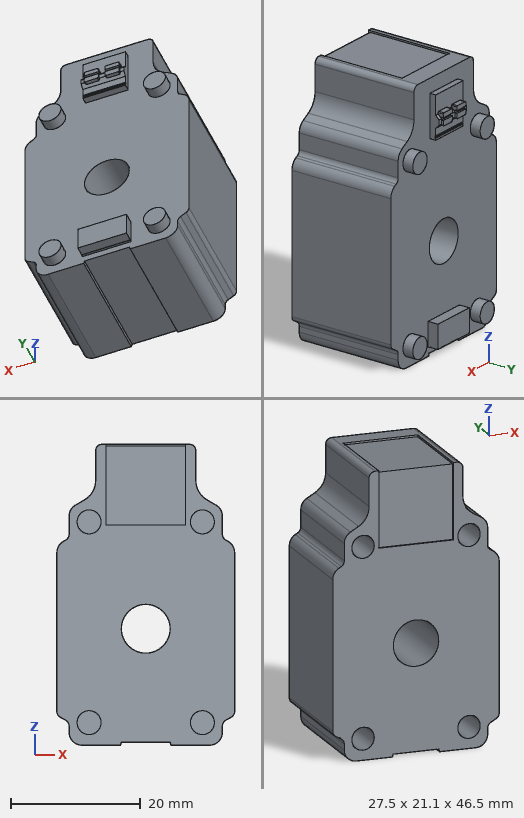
import cadquery as cq
import math


body_width = 27.5
body_height = 46.5
body_depth = 19.0
neck_width = 15.5
shoulder_width = 23.7
slope_angle = 30.0
neck_foot_z = 38.9
shoulder_foot_z = 32.0
base_step_z = 3.55
neck_corner_radius = 1.0
neck_foot_radius = 3.5
outer_corner_radius = 2.0
step_radius = 1.0

notch_depth = 0.45
notch_mouth_width = 7.8
notch_roof_width = 7.5

bore_diameter = 7.5
bore_z = 18.0
peg_diameter = 3.7
peg_length = 1.9
peg_spacing_x = 17.5
lower_peg_z = 3.5
upper_peg_z = 34.5
socket_depth = 10.0

label_width = 12.3
label_drop = 12.5
label_reach = 15.55
label_recess = 0.3

plate_width = 7.15
plate_thickness = 1.1
plate_top_z = 43.95
plate_bottom_z = upper_peg_z + peg_diameter / 2
groove_z = 36.7
groove_width = 0.3
groove_depth = 0.15
ridge_height = 1.75
ridge_top_z = 40.55
ridge_bottom_z = 38.35
contact_height = 2.1
contact_width = 2.4
contact_pitch = 3.5
contact_top_z = 40.95
contact_bottom_z = 38.75
contact_chamfer = 0.16
contact_slot_top_z = 40.15
contact_slot_bottom_z = 39.7

block_width = 8.15
block_height = peg_length
block_top_z = 5.9
block_bottom_z = lower_peg_z - peg_diameter / 2
lip_bottom_z = 1.6
lip_thickness = 0.35


def box(x, y, z):
    """A box between the given (low, high) limits along each axis."""
    size = (x[1] - x[0], y[1] - y[0], z[1] - z[0])
    return cq.Workplane("XY").box(*size, centered=False).translate((x[0], y[0], z[0]))


def centred(width, middle=0.0):
    """Low and high limits of a width about its middle."""
    return (middle - width / 2, middle + width / 2)


def from_back(height):
    """Y limits of a feature that stands on the back face."""
    return (body_depth, body_depth + height)


def rounded_outline(corners):
    """XZ outline extruded through the housing depth, from (x, z, corner radius) points."""
    count = len(corners)
    stretches = []
    for i, (x, z, radius) in enumerate(corners):
        corner = cq.Vector(x, z)
        to_last = (cq.Vector(*corners[i - 1][:2]) - corner).normalized()
        to_next = (cq.Vector(*corners[(i + 1) % count][:2]) - corner).normalized()
        half_angle = to_last.getAngle(to_next) / 2
        tangent_length = radius / math.tan(half_angle)
        apex_distance = radius / math.sin(half_angle) - radius
        start = corner + to_last * tangent_length
        middle = corner + (to_last + to_next).normalized() * apex_distance
        end = corner + to_next * tangent_length
        stretches.append((radius, start.toTuple()[:2], middle.toTuple()[:2], end.toTuple()[:2]))

    outline = cq.Workplane("XZ").moveTo(*stretches[0][3])
    for radius, start, middle, end in stretches[1:] + stretches[:1]:
        outline = outline.lineTo(*start)
        if radius > 0:
            outline = outline.threePointArc(middle, end)
    return outline.close().extrude(-body_depth)


def housing_block():
    """Housing body with its neck, stepped shoulders and notched underside."""
    neck_x = neck_width / 2
    shoulder_x = shoulder_width / 2
    body_x = body_width / 2
    slope = math.tan(math.radians(slope_angle))
    shoulder_top_z = neck_foot_z - (shoulder_x - neck_x) * slope
    step_rise = (body_x - shoulder_x) * slope

    right_side = [
        (notch_roof_width / 2, notch_depth, 0),
        (notch_mouth_width / 2, 0, 0),
        (shoulder_x, 0, outer_corner_radius),
        (shoulder_x, base_step_z, step_radius),
        (body_x, base_step_z + step_rise, step_radius),
        (body_x, shoulder_foot_z - step_rise, outer_corner_radius),
        (shoulder_x, shoulder_foot_z, step_radius),
        (shoulder_x, shoulder_top_z, outer_corner_radius),
        (neck_x, neck_foot_z, neck_foot_radius),
        (neck_x, body_height, neck_corner_radius),
    ]
    left_side = [(-x, z, radius) for x, z, radius in reversed(right_side)]
    return rounded_outline(right_side + left_side)


def cylinder_along_y(diameter, x, y, z):
    """A cylinder along Y between the given (low, high) Y limits."""
    start = cq.Vector(x, y[0], z)
    return cq.Workplane(cq.Solid.makeCylinder(diameter / 2, y[1] - y[0], start, cq.Vector(0, 1, 0)))


def label_cut():
    """Shallow recess on the front and top faces of the neck."""
    label_x = centred(label_width)
    front = box(label_x, (0, label_recess), (body_height - label_drop, body_height))
    top = box(label_x, (0, label_reach), (body_height - label_recess, body_height))
    return front.union(top)


def make_housing():
    """Housing with its bore, label recess, back pegs and front sockets."""
    housing = housing_block()
    housing = housing.cut(cylinder_along_y(bore_diameter, 0, (0, body_depth), bore_z))
    housing = housing.cut(label_cut())
    for x in centred(peg_spacing_x):
        for z in (lower_peg_z, upper_peg_z):
            housing = housing.union(cylinder_along_y(peg_diameter, x, from_back(peg_length), z))
            housing = housing.cut(cylinder_along_y(peg_diameter, x, (0, socket_depth), z))
    return housing


def contact(x):
    """Raised contact with chamfered corners and a slot across it down to the ridge."""
    contact_x = centred(contact_width, x)
    bar = box(contact_x, from_back(contact_height), (contact_bottom_z, contact_top_z))
    bar = bar.edges("|Y").chamfer(contact_chamfer)
    slot_y = (body_depth + ridge_height, body_depth + contact_height)
    return bar.cut(box(contact_x, slot_y, (contact_slot_bottom_z, contact_slot_top_z)))


def make_upper_connector():
    """Plate with a sloped ridge across it, two contacts and a fine groove near its lower edge."""
    plate_y = body_depth + plate_thickness
    ridge_y = body_depth + ridge_height
    ridge_rise = ridge_height - plate_thickness
    profile = [
        (body_depth, plate_bottom_z),
        (plate_y, plate_bottom_z),
        (plate_y, groove_z),
        (plate_y - groove_depth, groove_z),
        (plate_y - groove_depth, groove_z + groove_width),
        (plate_y, groove_z + groove_width),
        (plate_y, ridge_bottom_z),
        (ridge_y, ridge_bottom_z + ridge_rise),
        (ridge_y, ridge_top_z - ridge_rise),
        (plate_y, ridge_top_z),
        (plate_y, plate_top_z),
        (body_depth, plate_top_z),
    ]
    connector = cq.Workplane("YZ").polyline(profile).close().extrude(plate_width / 2, both=True)
    for x in centred(contact_pitch):
        connector = connector.union(contact(x))
    return connector


def make_lower_connector():
    """Block on the back face with a thin lip along its lower edge."""
    block_x = centred(block_width)
    block = box(block_x, from_back(block_height), (block_bottom_z, block_top_z))
    return block.union(box(block_x, from_back(lip_thickness), (lip_bottom_z, block_bottom_z)))


housing = make_housing()
upper_connector = make_upper_connector()
lower_connector = make_lower_connector()

result = cq.Compound.makeCompound([housing.val(), upper_connector.val(), lower_connector.val()])